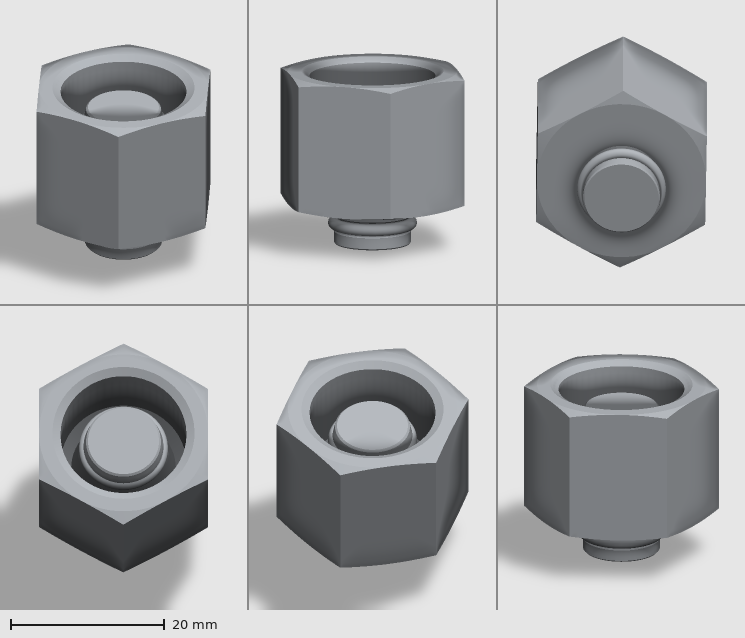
import cadquery as cq
import math

across_corners = 25.4
across_flats = across_corners * math.cos(math.radians(30))
nut_bottom = 5.33
nut_top = 22.83
hex_chamfer_angle = 15.0
bore_radius = 16.38 / 2
mouth_radius = 9.25
mouth_chamfer_angle = 30.0

spigot_radius = 10.0 / 2
spigot_chamfer = 0.18
groove_radius = 8.5 / 2
groove_bottom = 1.8
groove_top = 3.53

nose_top = 19.95
nose_face_radius = 4.62
nose_radius = 4.88
cone_half_angle = 12.0
shoulder_radius = 6.8

spigot_ring_section = 1.52
spigot_ring_height = 2.72
cone_ring_section = 1.5
cone_ring_outer_radius = 5.8
cone_ring_height = 17.45

nose_edge = nose_top - (nose_radius - nose_face_radius)
shoulder_height = nose_edge - (shoulder_radius - nose_radius) / math.tan(math.radians(cone_half_angle))
seat_bottom = shoulder_height - (shoulder_radius - spigot_radius)
seat_top = shoulder_height + (bore_radius - shoulder_radius)
cone_ring_radius = cone_ring_outer_radius - cone_ring_section / 2


def revolve_profile(points):
    """Solid of revolution about Z from (radius, height) points."""
    return cq.Workplane("XZ").polyline(points).close().revolve(360, (0, 0), (0, 1))


def make_ring(centre_radius, section, height):
    """Sealing ring of circular section about Z."""
    profile = cq.Workplane("XZ").center(centre_radius, height).circle(section / 2)
    return profile.revolve(360, (-centre_radius, 0), (-centre_radius, 1))


def make_nut():
    """Hexagonal nut with turned corners, a chamfered bore and a conical seat."""
    corner_radius = across_corners / 2
    flat_radius = across_flats / 2
    corner_drop = (corner_radius - flat_radius) * math.tan(math.radians(hex_chamfer_angle))
    mouth_depth = (mouth_radius - bore_radius) * math.tan(math.radians(mouth_chamfer_angle))
    hexagon = (
        cq.Workplane("XY", origin=(0, 0, nut_bottom))
        .polygon(6, across_corners)
        .extrude(nut_top - nut_bottom)
    )
    turned_outline = revolve_profile([
        (0, nut_bottom),
        (flat_radius, nut_bottom),
        (corner_radius, nut_bottom + corner_drop),
        (corner_radius, nut_top - corner_drop),
        (flat_radius, nut_top),
        (0, nut_top),
    ])
    opening = revolve_profile([
        (0, nut_bottom),
        (spigot_radius, nut_bottom),
        (spigot_radius, seat_bottom),
        (bore_radius, seat_top),
        (bore_radius, nut_top - mouth_depth),
        (mouth_radius, nut_top),
        (0, nut_top),
    ])
    return hexagon.intersect(turned_outline).cut(opening)


def make_plug():
    """Plug with a grooved spigot and a conical head that carries a sealing ring."""
    chamfered_radius = spigot_radius - spigot_chamfer
    body = revolve_profile([
        (0, 0),
        (chamfered_radius, 0),
        (spigot_radius, spigot_chamfer),
        (spigot_radius, groove_bottom - spigot_chamfer),
        (chamfered_radius, groove_bottom),
        (groove_radius, groove_bottom),
        (groove_radius, groove_top),
        (chamfered_radius, groove_top),
        (spigot_radius, groove_top + spigot_chamfer),
        (spigot_radius, seat_bottom),
        (shoulder_radius, shoulder_height),
        (nose_radius, nose_edge),
        (nose_face_radius, nose_top),
        (0, nose_top),
    ])
    return body.cut(make_ring(cone_ring_radius, cone_ring_section, cone_ring_height))


nut = make_nut()
plug = make_plug()
spigot_ring = make_ring(
    groove_radius + spigot_ring_section / 2,
    spigot_ring_section,
    spigot_ring_height,
)
cone_ring = make_ring(cone_ring_radius, cone_ring_section, cone_ring_height)

result = cq.Compound.makeCompound([nut.val(), plug.val(), spigot_ring.val(), cone_ring.val()])